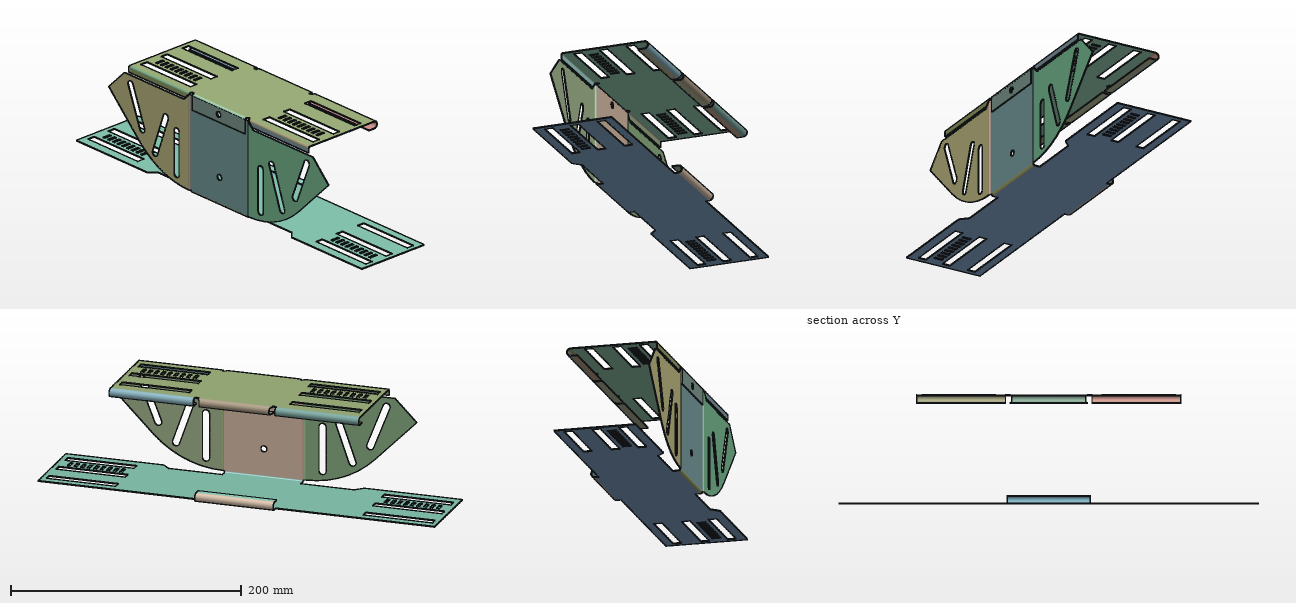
import cadquery as cq
import math

sheet = 1.0
bend_radius = 2 * sheet
hem_height = 7.5
hem_radius = hem_height / 2
lip_length = 10.0
depth = 82.0
height = 95.0
clearance = 3.5

lower_length = 364.0
upper_length = 229.5
lower_rear = 74.5
relief_end = 92.0
relief_depth = 7.0

group_margin = 4.7
long_slot_length = 63.7
long_slot_width = 7.5
long_slot_rows = (14.0, 38.0, 63.0)
short_slot_count = 9
short_slot_span = 48.0
short_slot_pitch = short_slot_span / (short_slot_count - 1)
short_slot_length = 8.0
short_slot_width = 2.5
short_slot_row = 26.0

panel_half = 36.0
joggle_width = 2.2
wall_depth = 2 * sheet
wing_start = panel_half + joggle_width
panel_top = height - bend_radius
wing_bottom = bend_radius
wing_top = 86.5
wing_tip_x = 140.0
wing_tip_z = 66.5
wing_step_x = 44.0
pivot_slot_width = 6.5
pivot_slot_spacing = 40.8
pivot_slots = (
    (53.5, 32.5, 0.0),
    (74.3, 42.2, 19.5),
    (105.0, 59.0, -21.5),
)

tab_half = 34.0
tab_height = 15.3
flange_height = 6.2
flange_inner_x = 43.0
notch_outer_x = 37.5
front_notch_depth = 2.5
front_notch_point = 4.0
hem_notch_depth = 6.0
hem_notch_chamfer = 1.0
hem_slant = 2.0

hole_diameter = 5.5
hole_heights = (26.5, 87.0)


def prism_z(points, z_low, z_high):
    """Upright prism on an outline in X and Y."""
    return cq.Workplane("XY").workplane(offset=z_low).polyline(points).close().extrude(z_high - z_low)


def front_tool(outline, y_depth):
    """Solid of an XZ outline reaching from ahead of the front face to y_depth."""
    return outline.extrude(-(y_depth + clearance)).translate((0, -clearance, 0))


def mirrored_pair(tool):
    """The tool and its mirror image across x = 0."""
    return [tool, tool.mirror("YZ")]


def channel(length, front, leg_height):
    """Plate at z = 0 with a folded front leg and a rolled rear hem, centred on x = 0."""
    slant = math.sqrt(0.5)
    inner_radius = bend_radius - sheet
    bend_y = front + bend_radius
    hem_y = depth - hem_radius
    lip_end = depth - lip_length
    outer_mid = (bend_y - bend_radius * slant, bend_radius - bend_radius * slant)
    inner_mid = (bend_y - inner_radius * slant, bend_radius - inner_radius * slant)
    return (
        cq.Workplane("YZ")
        .workplane(offset=-length / 2)
        .moveTo(front, leg_height)
        .lineTo(front, bend_radius)
        .threePointArc(outer_mid, (bend_y, 0))
        .lineTo(hem_y, 0)
        .threePointArc((depth, hem_radius), (hem_y, hem_height))
        .lineTo(lip_end, hem_height)
        .lineTo(lip_end, hem_height - sheet)
        .lineTo(hem_y, hem_height - sheet)
        .threePointArc((depth - sheet, hem_radius), (hem_y, sheet))
        .lineTo(bend_y, sheet)
        .threePointArc(inner_mid, (front + sheet, bend_radius))
        .lineTo(front + sheet, leg_height)
        .close()
        .extrude(length)
    )


def perforation(plate_length, plate_z):
    """Cutting tool for the slot groups at both ends of a plate."""
    group_x = plate_length / 2 - group_margin - long_slot_length / 2
    long_centres = [(side * group_x, y) for side in (-1, 1) for y in long_slot_rows]
    first_short = -short_slot_span / 2
    short_centres = [
        (side * group_x + first_short + i * short_slot_pitch, short_slot_row)
        for side in (-1, 1)
        for i in range(short_slot_count)
    ]
    plane = cq.Workplane("XY").workplane(offset=plate_z)
    long_slots = plane.pushPoints(long_centres).rect(long_slot_length, long_slot_width).extrude(sheet)
    short_slots = plane.pushPoints(short_centres).rect(short_slot_width, short_slot_length).extrude(sheet)
    return long_slots.union(short_slots)


def pin_holes():
    """Cutting tool for the pin holes through the front wall."""
    centres = [(0, z) for z in hole_heights]
    return front_tool(cq.Workplane("XZ").pushPoints(centres).circle(hole_diameter / 2), wall_depth)


def lower_plate():
    """Flat plate with a relief along the front, clear of the wings."""
    half = lower_length / 2
    relief_y = sheet + relief_depth
    relief_inner = relief_end - relief_depth
    left = [(-half, lower_rear), (-half, sheet), (-relief_end, sheet), (-relief_inner, relief_y)]
    right = [(-x, y) for x, y in reversed(left)]
    return prism_z(left + right, 0, sheet)


def wall_plan():
    """Right half of the front wall in plan: panel, S-shaped joggle and wing, at full height."""
    joggle_mid = panel_half + joggle_width / 2
    return (
        cq.Workplane("XY")
        .moveTo(0, sheet)
        .lineTo(panel_half, sheet)
        .tangentArcPoint((joggle_mid, sheet / 2), relative=False)
        .tangentArcPoint((wing_start, 0), relative=False)
        .lineTo(wing_tip_x, 0)
        .lineTo(wing_tip_x, sheet)
        .lineTo(wing_start, sheet)
        .tangentArcPoint((joggle_mid, sheet / 2 + sheet), relative=False)
        .tangentArcPoint((panel_half, 2 * sheet), relative=False)
        .lineTo(0, 2 * sheet)
        .close()
        .extrude(height)
    )


def wall_outline():
    """Right half of the front wall's outline in X and Z."""
    edge_angle = math.radians(45)
    tangent_length = (wing_tip_x - wing_start) - (wing_tip_z - wing_bottom)
    edge_radius = tangent_length / math.tan(edge_angle / 2)

    def edge_point(angle):
        rise = edge_radius * (1 - math.cos(angle))
        return (wing_start + edge_radius * math.sin(angle), wing_bottom + rise)

    shoulder_x = wing_tip_x - (wing_top - wing_tip_z)
    step_top = wing_top + (wing_step_x - wing_start)
    return (
        cq.Workplane("XZ")
        .moveTo(0, wing_bottom)
        .lineTo(wing_start, wing_bottom)
        .threePointArc(edge_point(edge_angle / 2), edge_point(edge_angle))
        .lineTo(wing_tip_x, wing_tip_z)
        .lineTo(shoulder_x, wing_top)
        .lineTo(wing_step_x, wing_top)
        .lineTo(wing_start, step_top)
        .lineTo(wing_start, panel_top)
        .lineTo(0, panel_top)
        .close()
    )


def pivot_slot(x, z, lean):
    """Cutting tool for one round-ended slot in the right wing."""
    slot_length = pivot_slot_spacing + pivot_slot_width
    outline = cq.Workplane("XZ").slot2D(slot_length, pivot_slot_width, 90 + lean)
    return front_tool(outline, wall_depth).translate((x, 0, z))


def front_wall():
    """Centre panel with a slotted wing on each side."""
    half = wall_plan().intersect(front_tool(wall_outline(), wall_depth))
    for x, z, lean in pivot_slots:
        half = half.cut(pivot_slot(x, z, lean))
    return half.union(half.mirror("YZ"))


def build_lower_body():
    """Long plate with the joggled front wall and a short rear hem behind the panel."""
    middle = channel(2 * panel_half, sheet, panel_top)
    body = middle.union(lower_plate()).union(front_wall())
    return body.cut(perforation(lower_length, 0)).cut(pin_holes())


def flange_trim():
    """Tool that leaves the centre tab and a shorter flange with a 45 degree inner end."""
    flange_bottom = height - flange_height
    tab_bottom = height - tab_height
    rise_top = flange_bottom + (flange_inner_x - notch_outer_x)
    below = tab_bottom - clearance
    beyond = upper_length / 2 + clearance
    outline = cq.Workplane("XZ").polyline([
        (tab_half, below), (tab_half, rise_top), (notch_outer_x, rise_top),
        (flange_inner_x, flange_bottom), (beyond, flange_bottom), (beyond, below),
    ]).close()
    return front_tool(outline, bend_radius)


def front_notch():
    """Pointed notch through the front fold beside the tab."""
    middle_x = (tab_half + notch_outer_x) / 2
    outline = [
        (tab_half, -clearance), (tab_half, front_notch_depth), (middle_x, front_notch_point),
        (notch_outer_x, front_notch_depth), (notch_outer_x, -clearance),
    ]
    return prism_z(outline, height - tab_height, height)


def hem_notch():
    """Notch across the rear hem, chamfered at its outer corner and slanted along the middle hem."""
    floor_y = depth - hem_notch_depth
    rim_x = tab_half - hem_slant
    outline = [
        (rim_x, depth), (tab_half, depth - hem_radius), (tab_half, floor_y),
        (notch_outer_x - hem_notch_chamfer, floor_y), (notch_outer_x, floor_y + hem_notch_chamfer),
        (notch_outer_x, depth),
    ]
    plate_notch = prism_z(outline, height - sheet, height)
    lip_end = depth - lip_length
    lip_outline = [(tab_half, lip_end), (notch_outer_x, lip_end), (notch_outer_x, depth), (rim_x, depth)]
    return plate_notch.union(prism_z(lip_outline, height - hem_height, height - sheet))


def build_upper_body():
    """Short plate, upside down over the lower body, with a front tab, flanges and a rear hem."""
    body = channel(upper_length, 0, tab_height).mirror("XY").translate((0, 0, height))
    for tool in (flange_trim(), front_notch(), hem_notch()):
        for copy in mirrored_pair(tool):
            body = body.cut(copy)
    return body.cut(perforation(upper_length, height - sheet)).cut(pin_holes())


lower_body = build_lower_body()
upper_body = build_upper_body()

result = cq.Compound.makeCompound([lower_body.val(), upper_body.val()])